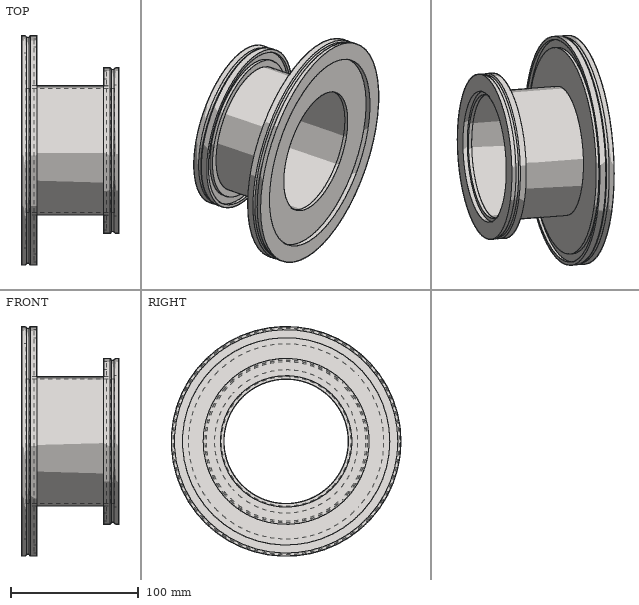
import cadquery as cq

LENGTH = 76.1
FLANGE_THICKNESS = 11.9
LARGE_DIAMETER = 180.0
SMALL_DIAMETER = 130.0

TUBE_OUTER_DIAMETER = 101.5
TUBE_BORE = 97.4
SOCKET_SHOULDER = 6.3

RECESS_INSET = 27.0
RECESS_DEPTH = 3.6

CLAMP_GROOVE_INSET = 5.0
CLAMP_GROOVE_WIDTH = 6.3
CLAMP_GROOVE_DEPTH = 2.3

RIM_GROOVE_START = 2.2
RIM_FLOOR_START = 3.8
RIM_FLOOR_END = 6.0
RIM_GROOVE_END = 7.0
RIM_SIDE_DEPTH = 1.17
RIM_GROOVE_DEPTH = 1.5
SHOULDER_DROP = 0.25


def ring(outer_diameter, inner_diameter, start, length):
    """Ring about the X axis."""
    return (
        cq.Workplane("YZ", origin=(start, 0, 0))
        .circle(outer_diameter / 2)
        .circle(inner_diameter / 2)
        .extrude(length)
    )


def rim_groove(diameter):
    """Rounded groove around the rim, with a shallow arc as its floor."""
    rim = diameter / 2
    side = rim - RIM_SIDE_DEPTH
    side_middle = (RIM_GROOVE_START + RIM_FLOOR_START) / 2
    end_middle = (RIM_FLOOR_END + RIM_GROOVE_END) / 2
    floor_middle = (RIM_FLOOR_START + RIM_FLOOR_END) / 2
    shoulder = rim - RIM_SIDE_DEPTH * SHOULDER_DROP
    return (
        cq.Workplane("XY")
        .moveTo(RIM_GROOVE_START, rim)
        .threePointArc((side_middle, shoulder), (RIM_FLOOR_START, side))
        .threePointArc((floor_middle, rim - RIM_GROOVE_DEPTH), (RIM_FLOOR_END, side))
        .threePointArc((end_middle, shoulder), (RIM_GROOVE_END, rim))
        .close()
        .revolve(360, (0, 0, 0), (1, 0, 0))
    )


def flange(diameter):
    """Flange with its outer face at x = 0 and its inner face toward +X."""
    recess_diameter = diameter - RECESS_INSET
    groove_outer = diameter - CLAMP_GROOVE_INSET
    groove_inner = groove_outer - 2 * CLAMP_GROOVE_WIDTH
    groove_start = FLANGE_THICKNESS - CLAMP_GROOVE_DEPTH
    socket_depth = FLANGE_THICKNESS - SOCKET_SHOULDER

    recess = cq.Workplane("YZ").circle(recess_diameter / 2).extrude(RECESS_DEPTH)
    socket = (
        cq.Workplane("YZ", origin=(SOCKET_SHOULDER, 0, 0))
        .circle(TUBE_OUTER_DIAMETER / 2)
        .extrude(socket_depth)
    )
    return (
        ring(diameter, TUBE_BORE, 0, FLANGE_THICKNESS)
        .cut(recess)
        .cut(socket)
        .cut(ring(groove_outer, groove_inner, groove_start, CLAMP_GROOVE_DEPTH))
        .cut(rim_groove(diameter))
    )


large_flange = flange(LARGE_DIAMETER)

small_flange = (
    flange(SMALL_DIAMETER)
    .rotate((0, 0, 0), (0, 0, 1), 180)
    .translate((LENGTH, 0, 0))
)

tube_length = LENGTH - 2 * SOCKET_SHOULDER
tube = ring(TUBE_OUTER_DIAMETER, TUBE_BORE, SOCKET_SHOULDER, tube_length)

result = cq.Compound.makeCompound([large_flange.val(), small_flange.val(), tube.val()])